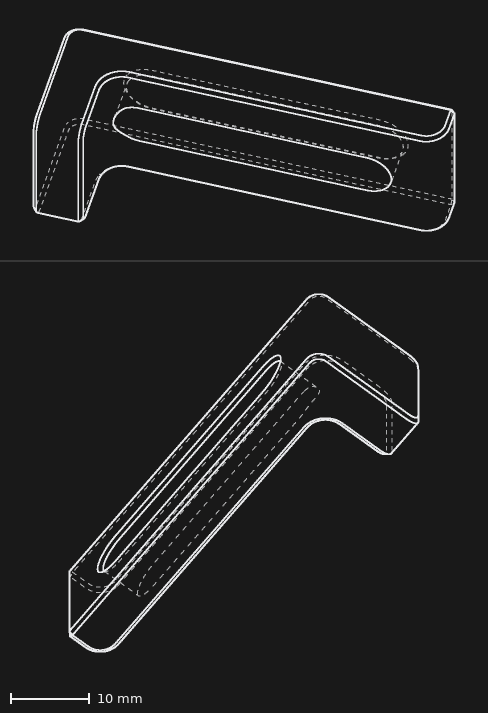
import cadquery as cq

length = 51.0
depth = 17.0
height = 19.0

arm_thickness = 6.0
leg_width = 6.55
heel_radius = 2.0
inner_radius = 3.0
tip_radius = 3.0

leg_corner_radius = 2.0
edge_chamfer = 0.5
chamfer_angle = 45

slot_start = 7.75
slot_end = 44.2
slot_width = 6.6

arm_front = depth - arm_thickness


def make_bracket():
    """L-shaped plate, with the arm along X and the leg reaching toward -Y."""
    body = (
        cq.Workplane("XY")
        .polyline([
            (0, 0), (leg_width, 0), (leg_width, arm_front),
            (length, arm_front), (length, depth), (0, depth),
        ])
        .close()
        .extrude(height)
    )
    body = body.edges(cq.selectors.NearestToPointSelector((0, depth, height / 2))).fillet(heel_radius)
    body = body.edges(
        cq.selectors.NearestToPointSelector((leg_width, arm_front, height / 2))
    ).fillet(inner_radius)
    body = body.edges(cq.selectors.NearestToPointSelector((length, arm_front, height / 2))).fillet(tip_radius)
    return body.faces("<Y").edges("|X").fillet(leg_corner_radius)


def break_edges(body):
    """Chamfer the complete outline of the bracket's outer faces."""
    return body.faces("<X or >X or <Z or >Z").edges().chamfer(edge_chamfer)


def make_slot():
    """Round-ended cutter running through the arm along Y, flared by a chamfer at the back face."""
    rim_length = slot_end - slot_start + 2 * edge_chamfer
    rim_width = slot_width + 2 * edge_chamfer
    back_face = cq.Workplane("XZ", origin=((slot_start + slot_end) / 2, depth, height / 2))
    passage = back_face.slot2D(slot_end - slot_start, slot_width).extrude(depth)
    flare = back_face.slot2D(rim_length, rim_width).extrude(edge_chamfer, taper=chamfer_angle)
    return passage.union(flare)


result = break_edges(make_bracket()).cut(make_slot())